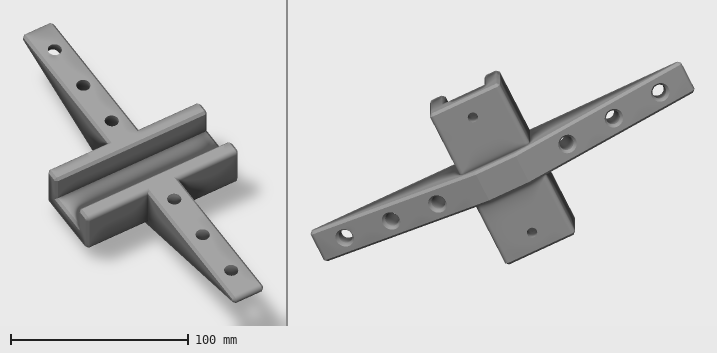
import cadquery as cq
import math

edge_round = 2.5
edge_chamfer = 1.5

span = 232.5
arm_width = 20.0
arm_depth = 32.3
slope_angle = math.radians(15)

body_width = 44.0
body_length = 100.0
body_depth = 26.5
groove_width = 24.5
groove_depth = 16.0

hole_diameter = 8.0
countersink_diameter = 10.7
countersink_depth = 2.3
hole_pitch = 31.2
first_hole = 34.2
holes_per_arm = 3

blind_hole_diameter = 5.8
blind_hole_offset = 38.1
floor_skin = 0.5


def extrude_along_y(outline, length):
    """Extrude a closed XZ outline symmetrically about Y = 0."""
    return outline.extrude(length / 2, both=True)


def underside_depth(distance):
    """Depth of the sloping underside, for a distance from the middle along X."""
    tip_height = edge_round * (1 + math.tan(math.pi / 4 - slope_angle / 2))
    return tip_height + (span / 2 - distance) * math.tan(slope_angle)


def make_groove():
    """Cutter for the groove, with a bevelled mouth at the top."""
    half = groove_width / 2
    outline = (
        cq.Workplane("XZ")
        .moveTo(-half, -groove_depth)
        .lineTo(half, -groove_depth)
        .lineTo(half, -edge_chamfer)
        .lineTo(half + edge_chamfer, 0)
        .lineTo(-half - edge_chamfer, 0)
        .lineTo(-half, -edge_chamfer)
        .close()
    )
    return extrude_along_y(outline, body_length)


def make_body(groove):
    """U-shaped channel with rounded long edges and bevelled end faces."""
    block = cq.Workplane("XY").box(body_width, body_length, body_depth)
    block = block.translate((0, 0, -body_depth / 2)).edges("|Y").fillet(edge_round)
    return block.cut(groove).faces("<Y or >Y").chamfer(edge_chamfer)


def make_arms():
    """Both tapered arms as one beam, with rounded tips and bevelled side faces."""
    tip = span / 2
    tip_center = tip - edge_round
    slope_start = tip_center + edge_round * math.sin(slope_angle)
    slope_start_depth = edge_round * (1 + math.cos(slope_angle))
    knee = tip - (arm_depth - underside_depth(tip)) / math.tan(slope_angle)
    outline = (
        cq.Workplane("XZ")
        .moveTo(-tip_center, 0)
        .lineTo(tip_center, 0)
        .threePointArc((tip, -edge_round), (slope_start, -slope_start_depth))
        .lineTo(knee, -arm_depth)
        .lineTo(-knee, -arm_depth)
        .lineTo(-slope_start, -slope_start_depth)
        .threePointArc((-tip, -edge_round), (-tip_center, 0))
        .close()
    )
    return extrude_along_y(outline, arm_width).faces("<Y or >Y").chamfer(edge_chamfer)


def make_screw_hole(side, distance):
    """Cutter for one hole, leaning outward going down (side is -1 or 1)."""
    direction = cq.Vector(side * math.sin(slope_angle), 0, -math.cos(slope_angle))
    entry = cq.Vector(side * distance, 0, 0)
    length = underside_depth(distance) * math.cos(slope_angle)
    overrun = hole_diameter
    bore = cq.Solid.makeCylinder(
        hole_diameter / 2, length + overrun, entry - direction * overrun, direction
    )
    countersink = cq.Solid.makeCone(
        hole_diameter / 2,
        countersink_diameter / 2,
        countersink_depth,
        entry + direction * (length - countersink_depth),
        direction,
    )
    return bore.fuse(countersink)


def make_blind_hole(y):
    """Cutter for one blind hole rising from the bottom of the body."""
    depth = body_depth - groove_depth - floor_skin
    return cq.Solid.makeCylinder(blind_hole_diameter / 2, depth, cq.Vector(0, y, -body_depth))


groove = make_groove()
result = make_arms().cut(groove).union(make_body(groove))

for side in (-1, 1):
    for index in range(holes_per_arm):
        result = result.cut(make_screw_hole(side, first_hole + index * hole_pitch))
    result = result.cut(make_blind_hole(side * blind_hole_offset))